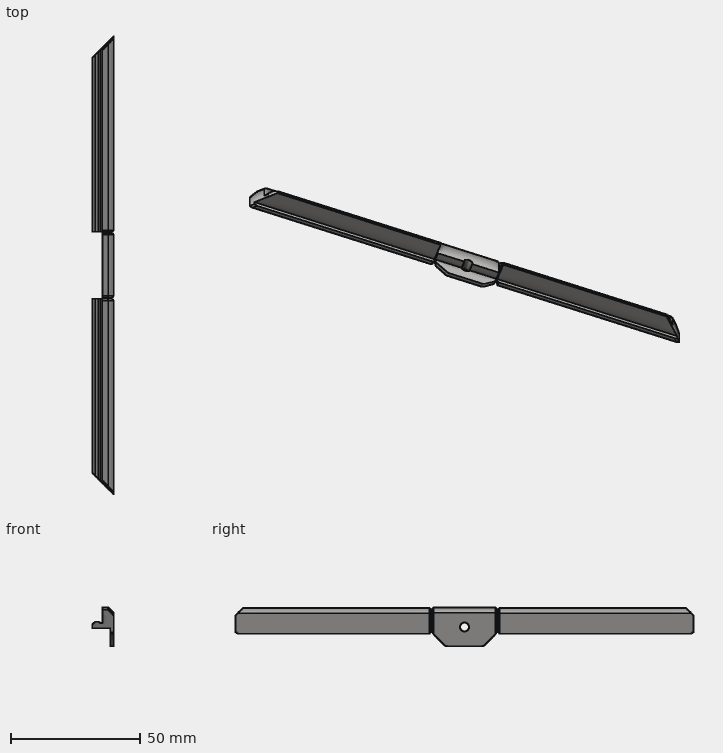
import cadquery as cq

LENGTH = 177.5
DEPTH = 8.3
HEIGHT = 15.0

WALL_FRONT = 3.9
FLANGE_THICKNESS = 1.5
END_CHAMFER = 0.7
STEP_Z = 7.0
TOP_CHAMFER = 2.1

RAIL_TOP = 14.9
RAIL_BOTTOM = 4.8
RAIL_START = 13.0
LEDGE_TOP = 9.0
LIP_TOP = 9.5
LIP_FRONT = 1.2
LIP_BACK = 2.3
LIP_FOOT = 3.2
LIP_FRONT_CHAMFER = 1.0

BRACKET_HALF_WIDTH = 12.6
TAB_HALF_WIDTH = 7.5
TAB_SLOPE_RISE = 5.3
TAB_CORNER_RADIUS = 1.8
HOLE_DIAMETER = 3.4
HOLE_Z = 7.5

FLANGE_FRONT = DEPTH - FLANGE_THICKNESS
TOLERANCE = 0.02
MITRE_FACE = cq.selectors.ParallelDirSelector(cq.Vector(-1, 1, 0))
RAIL_LENGTH = LENGTH / 2 - RAIL_START


def back_outline(bottom, top):
    """Points down the wall top, back face and flange, ending at the step."""
    return [
        (WALL_FRONT, top),
        (DEPTH - TOP_CHAMFER, top),
        (DEPTH, top - TOP_CHAMFER),
        (DEPTH, bottom),
        (FLANGE_FRONT, bottom),
        (FLANGE_FRONT, STEP_Z),
    ]


def extrude_along_y(points, start, length):
    """Extrude an XZ outline from Y = start towards +Y."""
    return cq.Workplane("XZ", origin=(0, start, 0)).polyline(points).close().extrude(-length)


def chamfer_end(body, face_selector, z_bottom, z_top, with_back):
    """Chamfer the top, back slope and bottom edges of an end face, and its back edge on request.

    The edges of the wall front and the ledge stay sharp.
    """
    def is_chamfered(edge):
        centre = edge.Center()
        behind_front = centre.x > WALL_FRONT + TOLERANCE
        on_top = centre.z > z_top - TOP_CHAMFER
        on_bottom = centre.z < z_bottom + TOLERANCE
        on_back = with_back and centre.x > DEPTH - TOLERANCE
        return behind_front and (on_top or on_bottom or on_back)

    edges = [edge for edge in body.faces(face_selector).edges().vals() if is_chamfered(edge)]
    return body.newObject(edges).chamfer(END_CHAMFER)


def make_rail():
    """Rail on the +Y side, with a 45 degree mitre at its outer end."""
    ledge = [
        (0, STEP_Z),
        (0, LIP_TOP - LIP_FRONT_CHAMFER),
        (LIP_FRONT, LIP_TOP),
        (LIP_BACK, LIP_TOP),
        (LIP_FOOT, LEDGE_TOP),
        (WALL_FRONT, LEDGE_TOP),
    ]
    rail = extrude_along_y(back_outline(RAIL_BOTTOM, RAIL_TOP) + ledge, RAIL_START, RAIL_LENGTH)
    end = LENGTH / 2
    mitre = (
        cq.Workplane("XY")
        .polyline([(0, end - DEPTH), (DEPTH, end), (0, end)])
        .close()
        .extrude(HEIGHT)
    )
    rail = rail.cut(mitre)
    rail = chamfer_end(rail, "<Y", RAIL_BOTTOM, RAIL_TOP, with_back=True)
    return chamfer_end(rail, MITRE_FACE, RAIL_BOTTOM, RAIL_TOP, with_back=False)


def make_bracket():
    """Middle bracket with a tapered tab below and a screw hole."""
    section = back_outline(0, HEIGHT) + [(WALL_FRONT, STEP_Z)]
    bracket = extrude_along_y(section, -BRACKET_HALF_WIDTH, 2 * BRACKET_HALF_WIDTH)
    front_shape = (
        cq.Workplane("YZ")
        .polyline([
            (-TAB_HALF_WIDTH, 0),
            (TAB_HALF_WIDTH, 0),
            (BRACKET_HALF_WIDTH, TAB_SLOPE_RISE),
            (BRACKET_HALF_WIDTH, HEIGHT),
            (-BRACKET_HALF_WIDTH, HEIGHT),
            (-BRACKET_HALF_WIDTH, TAB_SLOPE_RISE),
        ])
        .close()
        .extrude(DEPTH)
        .edges("|X and <Z")
        .fillet(TAB_CORNER_RADIUS)
    )
    hole = cq.Workplane("YZ").center(0, HOLE_Z).circle(HOLE_DIAMETER / 2).extrude(DEPTH)
    bracket = bracket.intersect(front_shape)
    for end in ("<Y", ">Y"):
        bracket = chamfer_end(bracket, end, TAB_SLOPE_RISE, HEIGHT, with_back=True)
    return bracket.cut(hole)


bracket = make_bracket()
first_rail = make_rail()
rails = [first_rail, first_rail.mirror("XZ")]

result = cq.Compound.makeCompound([bracket.val(), *[rail.val() for rail in rails]])